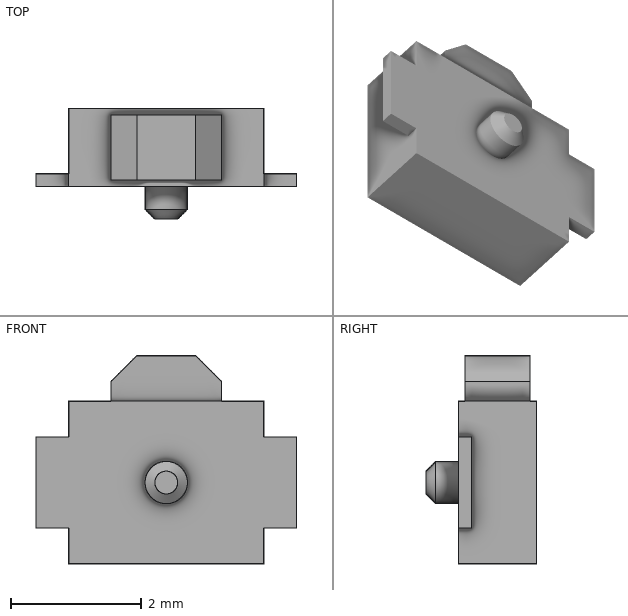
import cadquery as cq

body_width = 3.0
body_depth = 1.2
body_height = 2.5

overall_width = 4.0
tab_thickness = 0.2
tab_height = 1.4

button_width = 1.7
button_depth = 1.0
button_height = 0.7
button_chamfer = 0.4

pin_diameter = 0.65
pin_length = 0.5
pin_chamfer = 0.15


def block(width, depth, height):
    """Box centred on X and Z, running back from the plane Y = 0."""
    return cq.Workplane("XY").box(width, depth, height, centered=(True, False, True))


def make_button():
    """Button centred over the body depth, its two upper side edges chamfered."""
    return (
        cq.Workplane("XY")
        .box(button_width, button_depth, button_height, centered=(True, True, False))
        .faces(">Z")
        .edges("|Y")
        .chamfer(button_chamfer)
        .translate((0, body_depth / 2, body_height / 2))
    )


def make_pin():
    """Round pin pointing towards -Y with a chamfered tip."""
    return (
        cq.Workplane("XZ")
        .circle(pin_diameter / 2)
        .extrude(pin_length)
        .faces("<Y")
        .chamfer(pin_chamfer)
    )


body = block(body_width, body_depth, body_height)
tabs = block(overall_width, tab_thickness, tab_height)

result = body.union(tabs).union(make_button()).union(make_pin())